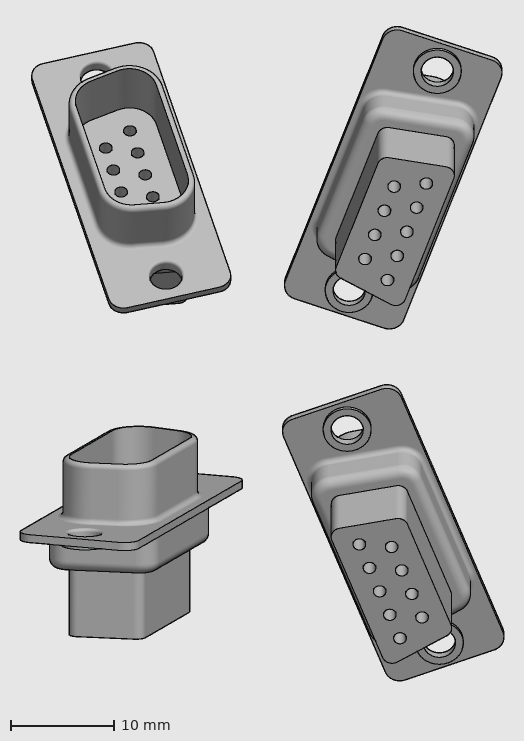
import cadquery as cq
import math

plate_length = 30.6
plate_width = 12.2
plate_thickness = 0.8
plate_corner_radius = 1.5

total_height = 17.5
depth_below_plate = 10.77
bottom_z = -depth_below_plate
top_z = total_height - depth_below_plate

side_angle = math.radians(10)

shell_length = 17.8
shell_width = 9.4
shell_corner_radius = 3.3
shell_wall = 0.6
shell_rim_radius = 0.5
cavity_floor_z = 0.37

housing_length = 19.35
housing_width = 10.8
housing_corner_radius = 2.0
housing_height = 3.98
housing_edge_radius = 0.98

root_radius = 0.52

block_length = 15.73
block_width = 7.47
block_corner_radius = 0.98

mount_spacing = 25.0
mount_hole_diameter = 3.12
mount_hole_edge_radius = 0.3
collar_diameter = 4.65
collar_height = 0.4
mount_points = [(-mount_spacing / 2, 0), (mount_spacing / 2, 0)]

contact_pitch = 2.75
contact_row_spacing = 2.8
contact_diameter = 1.22
contacts_in_wide_row = 5
contacts_in_narrow_row = 4

selection_margin = 0.03


def d_prism(length, width, corner_radius, start_z, end_z):
    """Prism with a rounded D outline; length and width are its overall extents."""
    slope = math.tan(side_angle)
    arc_center_y = width / 2 - corner_radius
    arc_center_x = length / 2 - corner_radius
    middle_half = arc_center_x + corner_radius / math.cos(side_angle) - arc_center_y * slope
    taper = width / 2 * slope
    corners = [
        (-middle_half - taper, width / 2),
        (middle_half + taper, width / 2),
        (middle_half - taper, -width / 2),
        (-middle_half + taper, -width / 2),
    ]
    base = cq.Workplane("XY", origin=(0, 0, start_z))
    prism = base.polyline(corners).close().extrude(end_z - start_z)
    return prism.edges("|Z").fillet(corner_radius)


def cylinders(points, diameter, start_z, end_z):
    """One upright cylinder at each of the given XY points."""
    base = cq.Workplane("XY", origin=(0, 0, start_z))
    return base.pushPoints(points).circle(diameter / 2).extrude(end_z - start_z)


def fillet_edges_in_region(body, center_x, length, width, z, radius):
    """Fillet the edges at height z inside a length x width region centred on Y = 0."""
    half_x = length / 2 + selection_margin
    half_y = width / 2 + selection_margin
    region = cq.selectors.BoxSelector(
        (center_x - half_x, -half_y, z - selection_margin),
        (center_x + half_x, half_y, z + selection_margin),
    )
    return body.edges(region).fillet(radius)


def make_plate():
    plate = cq.Workplane("XY").rect(plate_length, plate_width).extrude(plate_thickness)
    return plate.edges("|Z").fillet(plate_corner_radius)


def make_shell():
    shell = d_prism(shell_length, shell_width, shell_corner_radius, plate_thickness, top_z)
    return shell.faces(">Z").edges().fillet(shell_rim_radius)


def make_housing():
    housing = d_prism(housing_length, housing_width, housing_corner_radius, -housing_height, 0)
    return housing.faces("<Z").edges().fillet(housing_edge_radius)


def make_block():
    return d_prism(block_length, block_width, block_corner_radius, bottom_z, -housing_height)


def make_cavity():
    return d_prism(
        shell_length - 2 * shell_wall,
        shell_width - 2 * shell_wall,
        shell_corner_radius - shell_wall,
        cavity_floor_z,
        top_z,
    )


def contact_row(count, y):
    """Points of one row of contacts, centred on X = 0."""
    first_x = -(count - 1) / 2 * contact_pitch
    return [(first_x + i * contact_pitch, y) for i in range(count)]


body = make_plate().union(make_shell()).union(make_housing())
body = fillet_edges_in_region(body, 0, shell_length, shell_width, plate_thickness, root_radius)
body = fillet_edges_in_region(body, 0, housing_length, housing_width, 0, root_radius)

body = body.union(make_block()).cut(make_cavity())

body = body.union(cylinders(mount_points, collar_diameter, -collar_height, 0))
body = body.cut(cylinders(mount_points, mount_hole_diameter, -collar_height, plate_thickness))
for mount_x, _ in mount_points:
    body = fillet_edges_in_region(
        body, mount_x, mount_hole_diameter, mount_hole_diameter, plate_thickness, mount_hole_edge_radius
    )

contact_points = contact_row(contacts_in_wide_row, contact_row_spacing / 2)
contact_points += contact_row(contacts_in_narrow_row, -contact_row_spacing / 2)
body = body.cut(cylinders(contact_points, contact_diameter, bottom_z, cavity_floor_z))

result = body